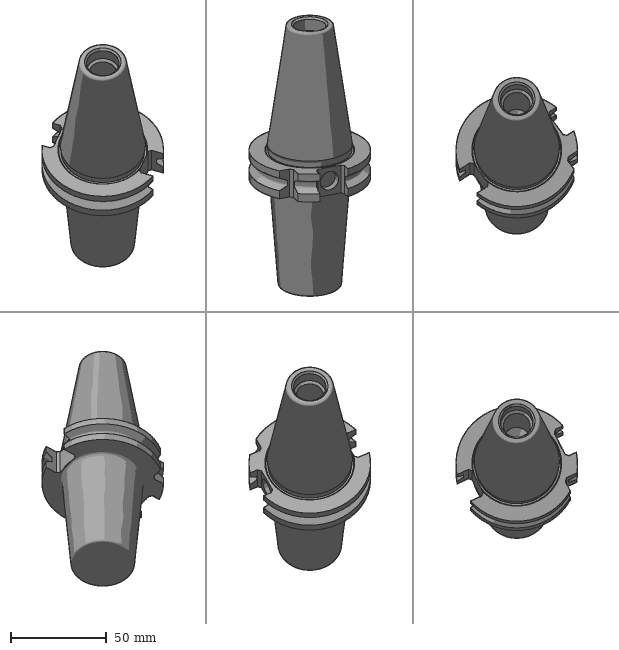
import cadquery as cq
import math

total_length = 148.4
gauge_z = 80.0
flange_top_z = 76.7
flange_bottom_z = 60.8
groove_mid_z = 69.0

gauge_radius = 22.3
taper_slope = 7 / 48
shank_end_radius = gauge_radius - taper_slope * (total_length - gauge_z)
shank_end_round = 1.2
relief_radius = 22.0
relief_top_z = 78.7
face_recess_radius = 23.5
face_recess_floor_radius = 23.0
face_recess_depth = 0.5

flange_radius = 31.8
groove_floor_radius = 28.0
groove_floor_half_width = 1.5
groove_fillet = 0.7
groove_half_width = groove_floor_half_width + (flange_radius - groove_floor_radius) * math.tan(math.radians(30))

neck_radius = 20.9
neck_fillet = 2.2
neck_bottom_z = 57.3
nose_end_radius = 16.6
nose_round = 1.2

slot_half_width = 8.0
left_slot_floor_x = -25.0
right_slot_floor_x = 22.7
corner_notch_x = -18.5
corner_notch_y = 18.4
notch_chamfer = 1.5
dimple_radius = 5.2
dimple_depth = 4.2

bore_radius = 8.5
bore_mouth_radius = 9.5
bore_depth = 7.4
thread_radius = 7.0
thread_depth = 32.0
step_half_angle = 55
drill_half_angle = 59


def cone_height(radius_change, half_angle):
    """Axial length over which a cone changes radius by the given amount."""
    return radius_change / math.tan(math.radians(half_angle))


def revolve_profile(profile):
    """Turn an outline drawn in (radius, Z) around the Z axis."""
    return profile.close().revolve(360, (0, 0, 0), (0, 1, 0))


def make_body():
    recess_z = flange_top_z - face_recess_depth
    arc_offset = neck_fillet * (1 - math.sqrt(0.5))
    body = revolve_profile(
        cq.Workplane("XZ")
        .lineTo(nose_end_radius, 0)
        .lineTo(neck_radius, neck_bottom_z)
        .lineTo(neck_radius, flange_bottom_z - neck_fillet)
        .threePointArc(
            (neck_radius + arc_offset, flange_bottom_z - arc_offset),
            (neck_radius + neck_fillet, flange_bottom_z),
        )
        .lineTo(flange_radius, flange_bottom_z)
        .lineTo(flange_radius, groove_mid_z - groove_half_width)
        .lineTo(groove_floor_radius, groove_mid_z - groove_floor_half_width)
        .lineTo(groove_floor_radius, groove_mid_z + groove_floor_half_width)
        .lineTo(flange_radius, groove_mid_z + groove_half_width)
        .lineTo(flange_radius, flange_top_z)
        .lineTo(face_recess_radius, flange_top_z)
        .lineTo(face_recess_floor_radius, recess_z)
        .lineTo(relief_radius, recess_z)
        .lineTo(relief_radius, relief_top_z)
        .lineTo(gauge_radius, gauge_z)
        .lineTo(shank_end_radius, total_length)
        .lineTo(0, total_length)
    )
    body = body.faces("<Z").edges().fillet(nose_round)
    body = body.faces(">Z").edges().fillet(shank_end_round)
    groove_zone = cq.selectors.BoxSelector(
        (-flange_radius, -flange_radius, groove_mid_z - groove_floor_half_width - groove_fillet),
        (flange_radius, flange_radius, groove_mid_z + groove_floor_half_width + groove_fillet),
    )
    return body.edges(groove_zone).edges("%CIRCLE").fillet(groove_fillet)


def make_notch(floor_x, outer_x, low_y, high_y, chamfered_edges):
    """Block through the flange thickness, chamfered along the chosen inner corners."""
    return (
        cq.Workplane("XY", origin=(0, 0, flange_bottom_z))
        .moveTo(floor_x, low_y)
        .lineTo(outer_x, low_y)
        .lineTo(outer_x, high_y)
        .lineTo(floor_x, high_y)
        .close()
        .extrude(flange_top_z - flange_bottom_z)
        .edges(chamfered_edges)
        .chamfer(notch_chamfer)
    )


def make_dimple():
    """Flat-bottomed round dimple in the floor of the left slot."""
    disc = cq.Solid.makeCylinder(
        dimple_radius, dimple_depth, cq.Vector(left_slot_floor_x, 0, groove_mid_z), cq.Vector(1, 0, 0)
    )
    return cq.Workplane(disc)


def make_shank_hole():
    mouth_chamfer = bore_mouth_radius - bore_radius
    step_z = total_length - bore_depth
    thread_top_z = step_z - cone_height(bore_radius - thread_radius, step_half_angle)
    thread_end_z = total_length - thread_depth
    return revolve_profile(
        cq.Workplane("XZ")
        .moveTo(0, total_length)
        .lineTo(bore_mouth_radius, total_length)
        .lineTo(bore_radius, total_length - mouth_chamfer)
        .lineTo(bore_radius, step_z)
        .lineTo(thread_radius, thread_top_z)
        .lineTo(thread_radius, thread_end_z)
        .lineTo(0, thread_end_z - cone_height(thread_radius, drill_half_angle))
    )


left_slot = make_notch(left_slot_floor_x, -flange_radius, -slot_half_width, slot_half_width, "|Z and >X")
right_slot = make_notch(right_slot_floor_x, flange_radius, -slot_half_width, slot_half_width, "|Z and <X")
corner_notch = make_notch(corner_notch_x, -flange_radius, corner_notch_y, flange_radius, "|Z and >X and <Y")

result = make_body()
for cutter in (left_slot, right_slot, corner_notch, make_dimple(), make_shank_hole()):
    result = result.cut(cutter)